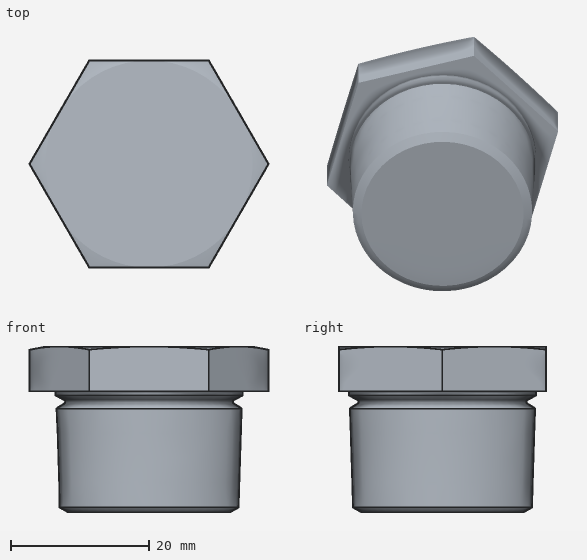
import cadquery as cq
import math

across_corners = 34.65
across_flats = across_corners * math.cos(math.pi / 6)
total_height = 24.0
head_height = 6.48
shank_length = total_height - head_height

corner_drop = 0.45

collar_radius = 13.58
collar_depth = 0.6
groove_root_radius = 12.15
groove_edge_radius = 12.25
groove_top_depth = 1.28
groove_bottom_depth = 1.73
groove_middle_depth = (groove_top_depth + groove_bottom_depth) / 2
plug_top_radius = 13.45
plug_top_depth = 2.5
plug_end_radius = 13.0
tip_radius = 11.75
tip_chamfer_height = 0.73


def make_head():
    """Hexagonal head with its top corners turned off by a cone."""
    hexagon = cq.Workplane("XY").polygon(6, across_corners).extrude(head_height)
    turned_blank = (
        cq.Workplane("XZ")
        .moveTo(0, 0)
        .lineTo(across_corners / 2, 0)
        .lineTo(across_corners / 2, head_height - corner_drop)
        .lineTo(across_flats / 2, head_height)
        .lineTo(0, head_height)
        .close()
        .revolve(360, (0, 0, 0), (0, 1, 0))
    )
    return hexagon.intersect(turned_blank)


def make_shank():
    """Turned shank below the head, revolved about Z."""
    return (
        cq.Workplane("XZ")
        .moveTo(0, 0)
        .lineTo(collar_radius, 0)
        .lineTo(collar_radius, -collar_depth)
        .lineTo(groove_edge_radius, -groove_top_depth)
        .threePointArc(
            (groove_root_radius, -groove_middle_depth),
            (groove_edge_radius, -groove_bottom_depth),
        )
        .lineTo(plug_top_radius, -plug_top_depth)
        .lineTo(plug_end_radius, tip_chamfer_height - shank_length)
        .lineTo(tip_radius, -shank_length)
        .lineTo(0, -shank_length)
        .close()
        .revolve(360, (0, 0, 0), (0, 1, 0))
    )


result = make_head().union(make_shank())